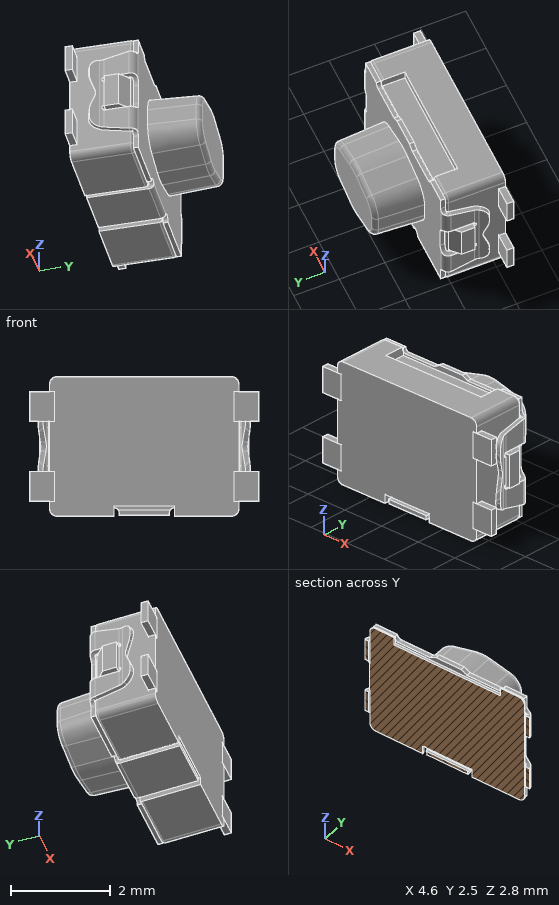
import cadquery as cq
import math


housing_width = 3.8
housing_depth = 2.8
housing_height = 1.3
housing_corner_radius = 0.15
housing_top_fillet = 0.05
pocket_depth = 0.202
top_pocket_width = 2.6
top_pocket_floor = 0.785
notch_width = 1.205

latch_width = 0.755
latch_projection = 0.202
latch_bottom = 0.76
latch_ramp_bottom = 1.055

overall_width = 4.6
terminal_length = 0.5
terminal_width = 0.6
terminal_thickness = 0.15
terminal_offset = 0.8

sheet = 0.1
plate_width = 3.7
plate_depth = 2.705
bend_inner_radius = 0.05
bend_outer_radius = bend_inner_radius + sheet
cover_top = housing_height + sheet
bend_center_height = housing_height - bend_inner_radius

edge_recess_depth = 0.095
edge_recess_half_width = 1.325
edge_tab_height = 0.08
edge_tab_half_top = 0.31
edge_tab_half_base = 0.45
edge_fillet = 0.095

flange_outer = 2.02
flange_half_width = 0.97
lip_bend_top = 0.735
lip_bend_radius = 0.202
lip_angle = math.radians(25)
lip_length = 0.21
lip_edge_radius = 0.23
lip_notch_base = 0.555
lip_notch_slope = math.radians(20)
lip_notch_half_round = 0.09
outline_foot = 0.37
outline_foot_half_width = 0.77

window_half_width = 0.42
window_inner_x = 1.82
window_corner_radius = 0.19
window_bottom = 0.735
window_relief_radius = 0.04
window_relief_offset = 0.355

flap_width = 1.01
flap_outer = 1.38
flap_end = 0.015
flap_relief_radius = 0.095
flap_relief_floor = 1.235

button_half_width = 1.06
button_half_depth = 0.81
button_top = 2.5
button_draft = 3.0
button_top_fillet = 0.11
button_corner_radius = 0.488
crown_radius = 0.83
crown_angle = math.radians(14.5)


def box(x0, x1, y0, y1, z0, z1):
    """Axis-aligned box between two opposite corners."""
    return cq.Workplane("XY").box(x1 - x0, y1 - y0, z1 - z0, centered=False).translate((x0, y0, z0))


def both_ends(solid):
    """The solid and its mirror image on the opposite X end."""
    return [solid, solid.mirror("YZ")]


def make_terminal(x_side, z_side):
    terminal = cq.Workplane("XY").box(terminal_length, terminal_thickness, terminal_width)
    x_center = x_side * (overall_width - terminal_length) / 2
    return terminal.translate((x_center, terminal_thickness / 2, z_side * terminal_offset))


def make_latch():
    """Boss on the +X end with a 45 degree ramp facing the cover."""
    face = housing_width / 2
    tip = face + latch_projection
    root = face - latch_projection
    profile = [
        (root, latch_bottom),
        (tip, latch_bottom),
        (tip, latch_ramp_bottom),
        (face, latch_ramp_bottom + latch_projection),
        (root, latch_ramp_bottom + latch_projection),
    ]
    return cq.Workplane("XY").polyline(profile).close().extrude(latch_width / 2, both=True)


def make_housing(terminals):
    half_depth = housing_depth / 2
    body = box(-housing_width / 2, housing_width / 2, 0, housing_height, -half_depth, half_depth)
    body = body.edges("|Y").fillet(housing_corner_radius)
    body = body.faces(">Y").edges().fillet(housing_top_fillet)

    pocket_half = top_pocket_width / 2
    pocket_bottom = half_depth - pocket_depth
    pocket = box(-pocket_half, pocket_half, top_pocket_floor, housing_height, pocket_bottom, half_depth)
    body = body.cut(pocket)
    notch_half = notch_width / 2
    body = body.cut(box(-notch_half, notch_half, 0, housing_height, -half_depth, -pocket_bottom))

    for latch in both_ends(make_latch()):
        body = body.union(latch)
    for terminal in terminals:
        body = body.cut(terminal)
    return body


def make_button():
    """Drafted button: curved crowns on +Z and -Z, straight flanks and large corner arcs."""
    crown_x = crown_radius * math.sin(crown_angle)
    crown_z = button_half_depth - crown_radius * (1 - math.cos(crown_angle))
    corner_center_x = button_half_width - button_corner_radius
    corner_x = corner_center_x + button_corner_radius * math.sin(crown_angle)
    corner_z = crown_z - (corner_x - crown_x) * math.tan(crown_angle)
    flat_z = corner_z - button_corner_radius * math.cos(crown_angle)
    mid_angle = (math.pi / 2 - crown_angle) / 2
    mid_x = corner_center_x + button_corner_radius * math.cos(mid_angle)
    mid_z = flat_z + button_corner_radius * math.sin(mid_angle)

    base = cq.Plane(origin=(0, housing_height, 0), xDir=(1, 0, 0), normal=(0, 1, 0))
    outline = (
        cq.Workplane(base)
        .moveTo(-crown_x, crown_z)
        .threePointArc((0, button_half_depth), (crown_x, crown_z))
        .lineTo(corner_x, corner_z)
        .threePointArc((mid_x, mid_z), (button_half_width, flat_z))
        .lineTo(button_half_width, -flat_z)
        .threePointArc((mid_x, -mid_z), (corner_x, -corner_z))
        .lineTo(crown_x, -crown_z)
        .threePointArc((0, -button_half_depth), (-crown_x, -crown_z))
        .lineTo(-corner_x, -corner_z)
        .threePointArc((-mid_x, -mid_z), (-button_half_width, -flat_z))
        .lineTo(-button_half_width, flat_z)
        .threePointArc((-mid_x, mid_z), (-corner_x, corner_z))
        .close()
    )
    body = outline.extrude(button_top - housing_height, taper=button_draft)
    return body.faces(">Y").edges().fillet(button_top_fillet)


def make_plate():
    """Flat top of the cover, with a recessed +Z edge that carries a raised tab."""
    half_width = plate_width / 2
    edge = plate_depth / 2
    recess = edge - edge_recess_depth
    tab_edge = recess + edge_tab_height
    fillet_end = edge_recess_half_width - edge_fillet
    fillet_mid = edge_fillet * math.sqrt(0.5)
    fillet_mid_x = fillet_end + fillet_mid
    fillet_mid_z = recess + edge_fillet - fillet_mid
    outline = (
        cq.Workplane("XZ", origin=(0, cover_top, 0))
        .moveTo(-half_width, -edge)
        .lineTo(-half_width, edge)
        .lineTo(-edge_recess_half_width, edge)
        .threePointArc((-fillet_mid_x, fillet_mid_z), (-fillet_end, recess))
        .lineTo(-edge_tab_half_base, recess)
        .lineTo(-edge_tab_half_top, tab_edge)
        .lineTo(edge_tab_half_top, tab_edge)
        .lineTo(edge_tab_half_base, recess)
        .lineTo(fillet_end, recess)
        .threePointArc((fillet_mid_x, fillet_mid_z), (edge_recess_half_width, edge))
        .lineTo(half_width, edge)
        .lineTo(half_width, -edge)
        .close()
    )
    return outline.extrude(sheet)


def flange_strip():
    """Full-width bent strip of the +X flange: plate edge, drop, and outward lip."""
    inner = flange_outer - sheet
    bend_x = flange_outer - bend_outer_radius
    cos_45 = math.sqrt(0.5)
    lip_center_x = flange_outer + lip_bend_radius

    def on_lip_bend(radius, angle):
        return (lip_center_x - radius * math.cos(angle), lip_bend_top - radius * math.sin(angle))

    def beyond(point):
        return (point[0] + lip_length * math.sin(lip_angle), point[1] - lip_length * math.cos(lip_angle))

    inside_radius = lip_bend_radius + sheet
    outer_end = on_lip_bend(lip_bend_radius, lip_angle)
    inner_end = on_lip_bend(inside_radius, lip_angle)
    outer_mid = (bend_x + bend_outer_radius * cos_45, bend_center_height + bend_outer_radius * cos_45)
    inner_mid = (bend_x + bend_inner_radius * cos_45, bend_center_height + bend_inner_radius * cos_45)
    profile = (
        cq.Workplane("XY")
        .moveTo(window_inner_x, cover_top)
        .lineTo(bend_x, cover_top)
        .threePointArc(outer_mid, (flange_outer, bend_center_height))
        .lineTo(flange_outer, lip_bend_top)
        .threePointArc(on_lip_bend(lip_bend_radius, lip_angle / 2), outer_end)
        .lineTo(*beyond(outer_end))
        .lineTo(*beyond(inner_end))
        .lineTo(*inner_end)
        .threePointArc(on_lip_bend(inside_radius, lip_angle / 2), (inner, lip_bend_top))
        .lineTo(inner, bend_center_height)
        .threePointArc(inner_mid, (bend_x, housing_height))
        .lineTo(window_inner_x, housing_height)
        .close()
    )
    return profile.extrude(flange_half_width, both=True)


def flange_outline():
    """Tapered outline of the flange seen along X, with a V notch rising from its lower edge."""
    apex = lip_notch_base + lip_notch_half_round * math.tan(lip_notch_slope / 2)
    notch_half_width = lip_notch_half_round + (lip_notch_base - outline_foot) / math.tan(lip_notch_slope)
    outline = (
        cq.Workplane("YZ")
        .moveTo(cover_top, flange_half_width)
        .lineTo(bend_center_height, flange_half_width)
        .lineTo(outline_foot, outline_foot_half_width)
        .lineTo(outline_foot, notch_half_width)
        .lineTo(lip_notch_base, lip_notch_half_round)
        .threePointArc((apex, 0), (lip_notch_base, -lip_notch_half_round))
        .lineTo(outline_foot, -notch_half_width)
        .lineTo(outline_foot, -outline_foot_half_width)
        .lineTo(bend_center_height, -flange_half_width)
        .lineTo(cover_top, -flange_half_width)
        .close()
    )
    return outline.extrude(overall_width)


def make_flange():
    """Flange of the +X end, its lip rounded at the outer corners and beside the V notch."""
    flange = flange_strip().intersect(flange_outline())
    flange = flange.faces("<Y").edges("not |Z").fillet(lip_edge_radius)
    for z_side in (-1, 1):
        flange = flange.union(root_fillet(z_side))
    return flange


def wide_bend():
    """Bent strip stretched along Z so that it also covers the root fillets."""
    strip = flange_strip()
    shift = 2 * edge_fillet
    return strip.translate((0, 0, shift)).union(strip.translate((0, 0, -shift)))


def root_fillet(z_side):
    """Concave corner between the plate edge and one side of the +X flange."""
    edge_x = plate_width / 2
    center_x = edge_x + edge_fillet
    flange_z = z_side * flange_half_width
    center_z = flange_z + z_side * edge_fillet
    low_z = min(flange_z, center_z)
    patch = box(edge_x, center_x, housing_height, cover_top, low_z, low_z + edge_fillet)
    rounding = cq.Workplane("XZ", origin=(center_x, cover_top, center_z)).circle(edge_fillet).extrude(sheet)
    return patch.cut(rounding).intersect(wide_bend())


def flange_window():
    """Opening around the +X latch boss, with rounded inner corners and two corner reliefs."""
    half_width = window_half_width
    opening = box(window_inner_x, overall_width, window_bottom, cover_top, -half_width, half_width)
    opening = opening.edges("|Y and <X").fillet(window_corner_radius)
    reliefs = (
        cq.Workplane("YZ", origin=(window_inner_x, 0, 0))
        .pushPoints([(window_bottom, -window_relief_offset), (window_bottom, window_relief_offset)])
        .circle(window_relief_radius)
        .extrude(overall_width)
    )
    return opening.union(reliefs)


def make_flap():
    """Flap bent down at the -Z edge into the housing notch, with a sharp inner corner."""
    inner = flap_outer - sheet
    diagonal = sheet * math.sqrt(0.5)
    profile = (
        cq.Workplane("YZ")
        .moveTo(cover_top, -flap_relief_floor)
        .lineTo(cover_top, -inner)
        .threePointArc((housing_height + diagonal, -inner - diagonal), (housing_height, -flap_outer))
        .lineTo(flap_end, -flap_outer)
        .lineTo(flap_end, -inner)
        .lineTo(housing_height, -inner)
        .lineTo(housing_height, -flap_relief_floor)
        .close()
    )
    return profile.extrude(flap_width / 2 + flap_relief_radius, both=True)


def flap_relief(x_side):
    """Round-ended slot beside the flap."""
    center_x = x_side * (flap_width / 2 + flap_relief_radius)
    center_z = -flap_relief_floor - flap_relief_radius
    round_end = cq.Workplane("XZ", origin=(center_x, cover_top, center_z)).circle(flap_relief_radius)
    x0 = center_x - flap_relief_radius
    x1 = center_x + flap_relief_radius
    return round_end.extrude(cover_top).union(box(x0, x1, 0, cover_top, -housing_depth, center_z))


def make_cover(button):
    flap_half = flap_width / 2 + flap_relief_radius
    cover = make_plate()
    cover = cover.cut(box(-flap_half, flap_half, 0, cover_top, -housing_depth, -flap_relief_floor))
    cover = cover.union(make_flap())
    for x_side in (-1, 1):
        cover = cover.cut(flap_relief(x_side))
    for flange in both_ends(make_flange()):
        cover = cover.union(flange)
    for opening in both_ends(flange_window()):
        cover = cover.cut(opening)
    return cover.cut(button)


terminals = [make_terminal(x_side, z_side) for x_side in (-1, 1) for z_side in (-1, 1)]
housing = make_housing(terminals)
button = make_button()
cover = make_cover(button)

result = cq.Compound.makeCompound(
    [housing.val(), cover.val(), button.val(), *[terminal.val() for terminal in terminals]]
)